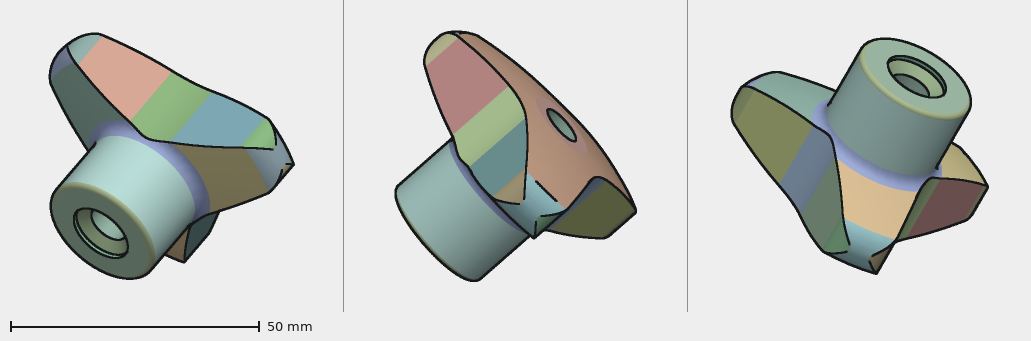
import cadquery as cq
import math


ARM_COUNT = 3
ARM_PITCH = 360 / ARM_COUNT
FIRST_ARM_ANGLE = -90
TIP_RADIUS = 30.0
TIP_HALF_WIDTH = 5.3
VALLEY_RADIUS = 12.1
TIP_ROUNDING = 4.95
VALLEY_ROUNDING = 15.85

BACK_CROWN = 9.05
BACK_FACE = 8.75
FRONT_CROWN = 9.4
RIM_RADIUS = 27.5
RIM_HALF_THICKNESS = 4.5

TOTAL_LENGTH = 34.75
HUB_END = BACK_FACE - TOTAL_LENGTH
HUB_RADIUS = 25.0 / 2
HUB_ROOT_FILLET = 2.5
HUB_END_FILLET = 1.0
BORE_RADIUS = 8.35 / 2
COUNTERSINK_RADIUS = 13.0 / 2
COUNTERSINK_LIP = 1.0
COUNTERSINK_DEPTH = 2.9


def dome_height(crown, radius):
    """Height at a radius on the spherical dome from the crown to the rim."""
    sag = crown - RIM_HALF_THICKNESS
    sphere_radius = (RIM_RADIUS**2 + sag**2) / (2 * sag)
    return crown - sphere_radius + math.sqrt(sphere_radius**2 - radius**2)


def make_turned_body():
    """Revolve the head and hub about the Y axis."""
    half_rim = RIM_RADIUS / 2
    front_middle = (RIM_RADIUS + HUB_RADIUS) / 2
    profile = (
        cq.Workplane("XY")
        .moveTo(0, HUB_END)
        .lineTo(HUB_RADIUS, HUB_END)
        .lineTo(HUB_RADIUS, -dome_height(FRONT_CROWN, HUB_RADIUS))
        .threePointArc(
            (front_middle, -dome_height(FRONT_CROWN, front_middle)),
            (RIM_RADIUS, -RIM_HALF_THICKNESS),
        )
        .threePointArc((TIP_RADIUS, 0), (RIM_RADIUS, RIM_HALF_THICKNESS))
        .threePointArc((half_rim, dome_height(BACK_CROWN, half_rim)), (0, BACK_CROWN))
        .close()
    )
    body = profile.revolve(360, (0, 0, 0), (0, 1, 0))
    root_y = -dome_height(FRONT_CROWN, HUB_RADIUS)
    margin = 0.55
    root = cq.selectors.BoxSelector(
        (-HUB_RADIUS - margin, root_y - margin, -HUB_RADIUS - margin),
        (HUB_RADIUS + margin, root_y + margin, HUB_RADIUS + margin),
        boundingbox=True,
    )
    body = body.edges(root).fillet(HUB_ROOT_FILLET)
    return body.faces("<Y").edges().fillet(HUB_END_FILLET)


def polar_point(radius, degrees):
    """X and Z of a point at a radius and an angle from +X."""
    angle = math.radians(degrees)
    return radius * math.cos(angle), radius * math.sin(angle)


def make_star():
    """Prism of the arm outline, with rounded tips and valleys, as long as the whole knob.

    Its back end forms the flat back face when it is intersected with the head.
    """
    corner_radius = math.hypot(TIP_RADIUS, TIP_HALF_WIDTH)
    corner_angle = math.degrees(math.atan2(TIP_HALF_WIDTH, TIP_RADIUS))
    tips = []
    valleys = []
    outline = []
    for arm in range(ARM_COUNT):
        direction = FIRST_ARM_ANGLE + arm * ARM_PITCH
        right = polar_point(corner_radius, direction - corner_angle)
        left = polar_point(corner_radius, direction + corner_angle)
        valley = polar_point(VALLEY_RADIUS, direction + ARM_PITCH / 2)
        tips += [right, left]
        valleys.append(valley)
        outline += [right, left, valley]
    star = (
        cq.Workplane("XZ", origin=(0, BACK_FACE, 0))
        .polyline(outline)
        .close()
        .extrude(TOTAL_LENGTH)
    )
    for corners, rounding in ((tips, TIP_ROUNDING), (valleys, VALLEY_ROUNDING)):
        for x, z in corners:
            edge = cq.selectors.NearestToPointSelector((x, BACK_FACE - TOTAL_LENGTH / 2, z))
            star = star.edges("|Y").edges(edge).fillet(rounding)
    return star


def make_bore():
    """Through bore with a countersink at the hub end."""
    return (
        cq.Workplane("XY")
        .moveTo(0, HUB_END)
        .lineTo(COUNTERSINK_RADIUS, HUB_END)
        .lineTo(COUNTERSINK_RADIUS, HUB_END + COUNTERSINK_LIP)
        .lineTo(BORE_RADIUS, HUB_END + COUNTERSINK_DEPTH)
        .lineTo(BORE_RADIUS, BACK_FACE)
        .lineTo(0, BACK_FACE)
        .close()
        .revolve(360, (0, 0, 0), (0, 1, 0))
    )


result = make_turned_body().intersect(make_star()).cut(make_bore())